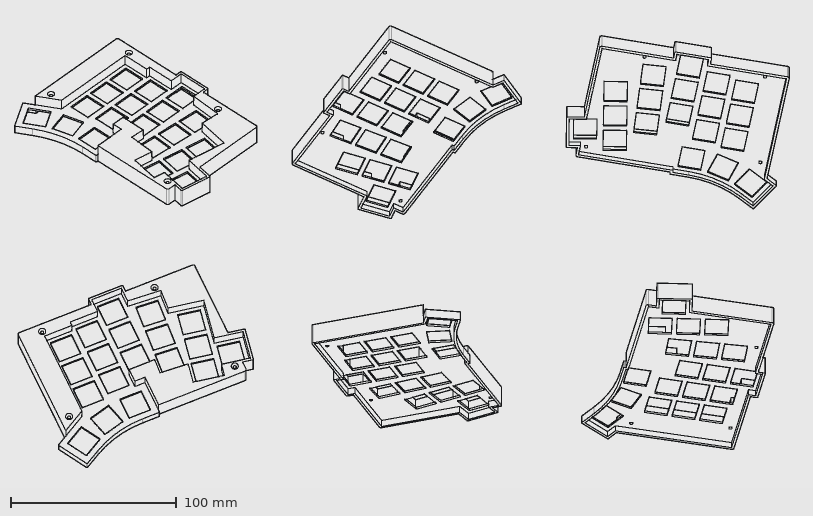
import cadquery as cq
import math


case_height = 12.5
plate_top = 5.5
plate_thickness = 1.3

case_width = 116.3
case_depth = 78.8
case_corner_radius = 1.2
wing_corner_radius = 0.5
wall = 1.6

window_size = 14.0
column_pitch = 18.0
row_pitch = 17.0
recess_half_width = 9.7
recess_half_depth = 9.2
outer_half_width = recess_half_width + wall
outer_half_depth = recess_half_depth + wall

first_column_x = 24
pinky_tilt = 10
columns = [
    (first_column_x, 44.2, 0),
    (first_column_x + column_pitch, 46.7, 0),
    (first_column_x + 2 * column_pitch, 55.4, 0),
    (79.3, 45.1, 4),
    (97.7, 30.0, pinky_tilt),
]
outer_key_drop = 9.3
tilted_strip_reach = 4

thumb_x = 47.0
thumb_y = 9.3
thumb_tilt_step = 15
thumb_count = 3
wing_edge_radius = 66.0
thumb_arc_radius = wing_edge_radius + outer_half_depth

screw_places = [(14.1, 73.9), (88.1, 73.9), (5.7, 14.5), (110.9, 5.6)]
screw_diameter = 1.9
screw_head_diameter = 4.3
screw_head_angle = 90


def from_key(key, right, up):
    """Point offset from a key centre, measured along the key's own tilted axes."""
    x, y, tilt = key
    angle = math.radians(tilt)
    return (
        x + right * math.cos(angle) + up * math.sin(angle),
        y - right * math.sin(angle) + up * math.cos(angle),
    )


def key_block(key, half_width, half_depth, bottom, top):
    """Rectangular block centred on a key and turned with it."""
    x, y, tilt = key
    block = cq.Workplane("XY").rect(2 * half_width, 2 * half_depth).extrude(top - bottom)
    return block.rotate((0, 0, 0), (0, 0, 1), -tilt).translate((x, y, bottom))


def thumb_key(index):
    """Centre and tilt of a thumb key, counted from the innermost one."""
    tilt = thumb_tilt_step * index
    angle = math.radians(tilt)
    x = thumb_x - thumb_arc_radius * math.sin(angle)
    y = thumb_y - thumb_arc_radius * (1 - math.cos(angle))
    return (x, y, -tilt)


thumb_keys = [thumb_key(index) for index in range(thumb_count)]
top_key = from_key(columns[2], 0, row_pitch) + (0,)
outer_key = from_key(columns[4], column_pitch, -outer_key_drop) + (pinky_tilt,)
column_keys = [
    from_key(column, 0, row * row_pitch) + (column[2],) for column in columns for row in (-1, 0, 1)
]


def wing_block(bottom, top):
    """Thumb wing: straight outer end, concave front edge and a square inner end."""
    inner_key = thumb_keys[0]
    end_key = thumb_keys[-1]
    middle_key = thumb_keys[1]
    back_left = from_key(end_key, -outer_half_width, outer_half_depth)
    side_x = first_column_x - recess_half_width
    back_slope = math.tan(math.radians(-end_key[2]))
    side_y = back_left[1] + (side_x - back_left[0]) * back_slope
    back_y = columns[1][1] - row_pitch - recess_half_depth
    return (
        cq.Workplane("XY", origin=(0, 0, bottom))
        .moveTo(*back_left)
        .lineTo(*from_key(end_key, -outer_half_width, -outer_half_depth))
        .lineTo(*from_key(end_key, 0, -outer_half_depth))
        .threePointArc(
            from_key(middle_key, 0, -outer_half_depth),
            from_key(inner_key, 0, -outer_half_depth),
        )
        .lineTo(*from_key(inner_key, outer_half_width, -outer_half_depth))
        .lineTo(thumb_x + outer_half_width, back_y)
        .lineTo(side_x, back_y)
        .lineTo(side_x, side_y)
        .close()
        .extrude(top - bottom)
    )


def rounded_wing():
    """Thumb wing up to the key plate, with its three free corners rounded."""
    inner_key = thumb_keys[0]
    end_key = thumb_keys[-1]
    wing = wing_block(0, plate_top)
    corners = [
        from_key(end_key, -outer_half_width, outer_half_depth),
        from_key(end_key, -outer_half_width, -outer_half_depth),
        from_key(inner_key, outer_half_width, -outer_half_depth),
    ]
    for x, y in corners:
        corner = cq.selectors.NearestToPointSelector((x, y, plate_top / 2))
        wing = wing.edges("|Z").edges(corner).fillet(wing_corner_radius)
    return wing


def outer_body():
    """Solid envelope of the case, its two key bumps and the thumb wing."""
    body = (
        cq.Workplane("XY")
        .rect(case_width, case_depth, centered=False)
        .extrude(case_height)
        .edges("|Z")
        .fillet(case_corner_radius)
    )
    body = body.cut(wing_block(0, case_height)).union(rounded_wing())
    for key in (top_key, outer_key):
        bump = key_block(key, outer_half_width, outer_half_depth, 0, case_height)
        body = body.union(bump.edges("|Z").fillet(wing_corner_radius))
    return body


def key_recess():
    """Space above the key plate, one tilted strip per column plus the outer pinky key."""
    recess = key_block(outer_key, recess_half_width, recess_half_depth, plate_top, case_height)
    for column in columns:
        strip_half_depth = recess_half_depth + row_pitch
        strip = key_block(column, recess_half_width, strip_half_depth, plate_top, case_height)
        recess = recess.union(strip)
        if column[2]:
            filler_key = from_key(column, -tilted_strip_reach, row_pitch / 2) + (column[2],)
            filler_half_depth = recess_half_depth + row_pitch / 2
            filler = key_block(filler_key, recess_half_width, filler_half_depth, plate_top, case_height)
            recess = recess.union(filler)
    return recess


def underside_cavity(body):
    """Hollow below the key plate, following the outline one wall thickness inside it."""
    return (
        cq.Workplane("XY")
        .add(body.faces("<Z").wires().vals())
        .toPending()
        .offset2D(-wall, "intersection")
        .extrude(plate_top - plate_thickness)
    )


body = outer_body()
result = body.cut(key_recess()).cut(underside_cavity(body))

for key in column_keys + thumb_keys + [outer_key]:
    result = result.cut(key_block(key, window_size / 2, window_size / 2, 0, plate_top))

result = (
    result.faces(">Z")
    .workplane(origin=(0, 0, case_height))
    .pushPoints(screw_places)
    .cskHole(screw_diameter, screw_head_diameter, screw_head_angle)
)